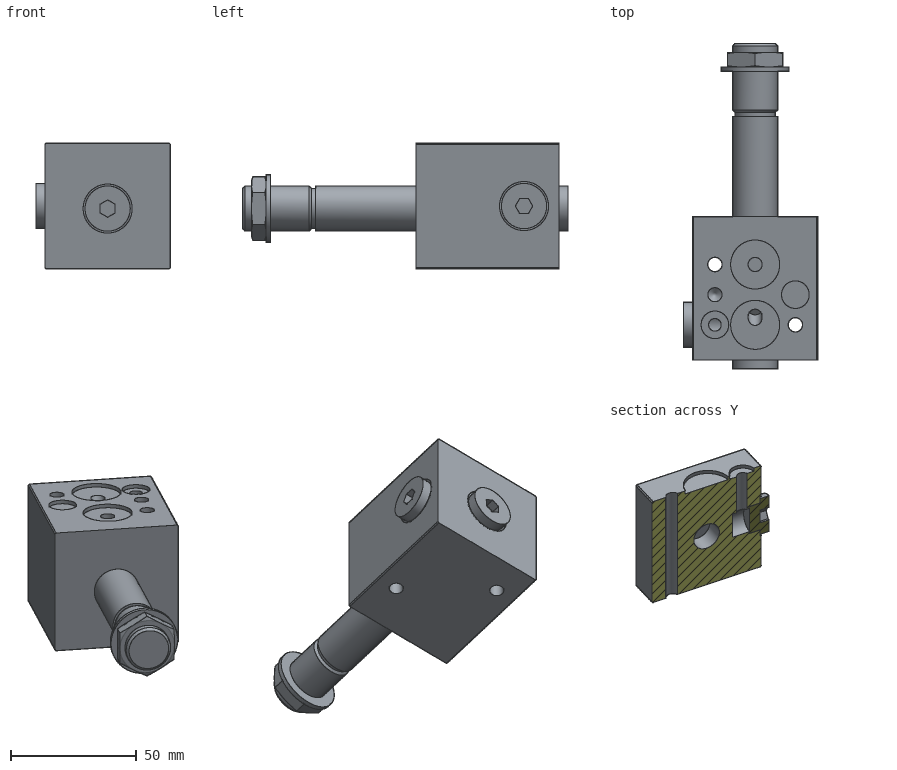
import cadquery as cq
import math

block_width = 50.0
block_length = 57.0
block_height = 50.0
edge_chamfer = 0.5
top_z = block_height / 2

column_x = 16.0
front_row_y = 14.0
middle_row_y = 26.0
rear_row_y = 38.0

port_diameter = 19.5
small_recess_diameter = 11.0
recess_depth = 1.5
hole_diameter = 5.6
port_hole_depth = 12.0
screw_hole_depth = 12.0
drill_point_angle = 118.0
cross_hole_diameter = 5.0
slanted_hole_angle = 30.0
slanted_hole_offset = 3.0
slanted_hole_length = 6.8

tube_z = -1.0
tube_diameter = 18.0
tube_end_y = 126.0
tube_end_chamfer = 1.0
groove_diameter = 16.06
groove_start_y = 96.9
groove_width = 1.6
groove_cone_length = (tube_diameter - groove_diameter) / 2
nut_across_flats = 22.0
nut_end_y = 122.4
nut_chamfer_height = 0.5
flange_diameter = 27.0
flange_start_y = 114.8
flange_thickness = 1.8

plug_head_diameter = 18.0
plug_protrusion = 3.5
plug_shank_diameter = 13.16
plug_shank_length = 5.0
plug_key_size = 6.0
plug_key_depth = 4.0
spot_face_diameter = port_diameter
spot_face_depth = 0.5
bore_diameter = 11.45
bore_depth = 13.0

front_plug_plane = cq.Plane(origin=(0, 0, tube_z), xDir=(1, 0, 0), normal=(0, -1, 0))
side_plug_plane = cq.Plane(origin=(-block_width / 2, front_row_y, 0), xDir=(0, 0, 1), normal=(-1, 0, 0))
plug_planes = [front_plug_plane, side_plug_plane]


def cylinder(plane, start, end, diameter):
    """Cylinder on the plane's normal between two distances from the plane."""
    return cq.Workplane(plane).workplane(offset=start).circle(diameter / 2).extrude(end - start)


def hexagon(plane, start, end, across_flats):
    """Hexagonal prism with two corners on the plane's local Y axis."""
    corner_diameter = across_flats / math.cos(math.pi / 6)
    return (
        cq.Workplane(plane)
        .transformed(rotate=(0, 0, 90), offset=(0, 0, start))
        .polygon(6, corner_diameter)
        .extrude(end - start)
    )


def top_hole(x, y, depth, diameter):
    """Flat-bottomed vertical hole cut down from the top face."""
    return cylinder(cq.Plane(origin=(x, y, top_z)), -depth, 0, diameter)


def screw_hole(x, y):
    """Blind hole with a conical drill point."""
    radius = hole_diameter / 2
    tip_depth = screw_hole_depth + radius / math.tan(math.radians(drill_point_angle / 2))
    return (
        cq.Workplane("XZ")
        .lineTo(radius, 0)
        .lineTo(radius, -screw_hole_depth)
        .lineTo(0, -tip_depth)
        .close()
        .revolve(360, (0, 0), (0, 1))
        .translate((x, y, top_z))
    )


def slanted_hole():
    """Hole that leans rearward as it goes down from the floor of the front port."""
    tilt = math.radians(slanted_hole_angle)
    outward = (0, -math.sin(tilt), math.cos(tilt))
    opening = (0, front_row_y + slanted_hole_offset, top_z - recess_depth)
    run_out = hole_diameter / 2 * math.tan(tilt)
    plane = cq.Plane(origin=opening, xDir=(1, 0, 0), normal=outward)
    return cylinder(plane, -slanted_hole_length, run_out, hole_diameter)


def plug_bore(plane):
    """Spot face, threaded length that the plug fills, and the bore behind it."""
    shank_end = spot_face_depth + plug_shank_length
    return (
        cylinder(plane, -spot_face_depth, 0, spot_face_diameter)
        .union(cylinder(plane, -shank_end, 0, plug_shank_diameter))
        .union(cylinder(plane, -bore_depth, 0, bore_diameter))
    )


def make_tube():
    """Turned tube with a relief groove and a chamfered free end."""
    radius = tube_diameter / 2
    groove_radius = groove_diameter / 2
    groove_floor_end = groove_start_y + groove_width
    start_y = block_length
    return (
        cq.Workplane("XY")
        .moveTo(0, start_y)
        .lineTo(radius, start_y)
        .lineTo(radius, groove_start_y)
        .lineTo(groove_radius, groove_start_y)
        .lineTo(groove_radius, groove_floor_end)
        .lineTo(radius, groove_floor_end + groove_cone_length)
        .lineTo(radius, tube_end_y - tube_end_chamfer)
        .lineTo(radius - tube_end_chamfer, tube_end_y)
        .lineTo(0, tube_end_y)
        .close()
        .revolve(360, (0, 0), (0, 1))
        .translate((0, 0, tube_z))
    )


def make_nut():
    """Hexagon nut on a round flange, with the hexagon corners chamfered at both ends."""
    plane = cq.Plane(origin=(0, 0, tube_z), xDir=(-1, 0, 0), normal=(0, 1, 0))
    hexagon_start_y = flange_start_y + flange_thickness
    corner_radius = nut_across_flats / 2 / math.cos(math.pi / 6)
    corner_cut = corner_radius - nut_across_flats / 2
    chamfered_envelope = (
        cylinder(plane, hexagon_start_y, nut_end_y, 2 * corner_radius)
        .edges("%CIRCLE")
        .chamfer(nut_chamfer_height, corner_cut)
    )
    nut = hexagon(plane, hexagon_start_y, nut_end_y, nut_across_flats).intersect(chamfered_envelope)
    return nut.union(cylinder(plane, flange_start_y, hexagon_start_y, flange_diameter))


def make_valve():
    """Block with its tube and nut, cut by the ports, holes and plug bores."""
    valve = (
        cq.Workplane("XY")
        .box(block_width, block_length, block_height, centered=(True, False, True))
        .edges("|Y")
        .chamfer(edge_chamfer)
        .union(make_tube())
        .union(make_nut())
    )
    cutters = [
        top_hole(0, rear_row_y, recess_depth, port_diameter),
        top_hole(0, rear_row_y, port_hole_depth, hole_diameter),
        top_hole(0, front_row_y, recess_depth, port_diameter),
        slanted_hole(),
        top_hole(column_x, middle_row_y, recess_depth, small_recess_diameter),
        top_hole(-column_x, front_row_y, recess_depth, small_recess_diameter),
        top_hole(-column_x, front_row_y, block_height / 2, cross_hole_diameter),
        top_hole(-column_x, rear_row_y, block_height, hole_diameter),
        top_hole(column_x, front_row_y, block_height, hole_diameter),
        screw_hole(-column_x, middle_row_y),
    ]
    cutters += [plug_bore(plane) for plane in plug_planes]
    for cutter in cutters:
        valve = valve.cut(cutter)
    return valve


def make_plug(plane):
    """Screw plug with a cylindrical head, a shank and a hexagon socket."""
    shank_end = spot_face_depth + plug_shank_length
    return (
        cylinder(plane, -spot_face_depth, plug_protrusion, plug_head_diameter)
        .union(cylinder(plane, -shank_end, -spot_face_depth, plug_shank_diameter))
        .cut(hexagon(plane, plug_protrusion - plug_key_depth, plug_protrusion, plug_key_size))
    )


valve = make_valve()
plugs = [make_plug(plane) for plane in plug_planes]

result = cq.Compound.makeCompound([valve.val(), *[plug.val() for plug in plugs]])